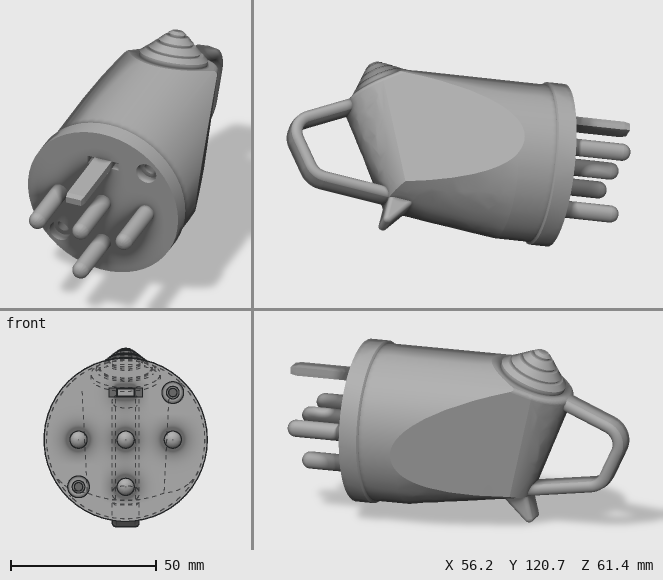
import cadquery as cq
import math


COVER_RADIUS = 28.08
COVER_DEPTH = 6.9
COVER_CHAMFER_RADIAL = 0.9
COVER_CHAMFER_DEPTH = 0.6

GRID = 16.2
PIN_RADIUS = 2.96
PIN_LENGTH = 22.1
PIN_TIP_FILLET = 2.9
BLADE_WIDTH = 6.4
BLADE_THICKNESS = 3.0
BLADE_LENGTH = 25.6
BLADE_TIP_LENGTH = 2.2
BLADE_TIP_SETBACK = 0.4
SLOT_WIDTH = 11.5
SLOT_DEPTH = 3.6
SCREW_HEAD_RADIUS = 3.7
SCREW_HEAD_DEPTH = 3.6
SCREW_SHANK_RADIUS = 2.2
SCREW_PILOT_RADIUS = 1.5
SCREW_PILOT_DEPTH = 9.7
PIN_PLACES = [(-GRID, 0), (0, 0), (GRID, 0), (0, -GRID)]
SCREW_PLACES = [(GRID, GRID), (-GRID, -GRID)]

BODY_RADIUS = 27.2
BODY_REACH = 84.5
GLAND_START_Y = 46.7
GLAND_ANGLE = 22.9
UNDERSIDE_START_Y = 18.7
UNDERSIDE_SLOPE = 0.152
UNDERSIDE_SPREAD = 0.07
UNDERSIDE_OVERSIZE = 0.04
SIDE_OFFSET = 33.0
SIDE_TAPER = 0.309
SIDE_LEAN = 0.121
REAR_CORNER_TOP_Y = 65.5
REAR_CORNER_LEAN = 0.229
REAR_MIDDLE_TOP_Y = 75.3
REAR_MIDDLE_LEAN = 0.41
GLAND_EDGE_FILLET = 1.5
NOSE_BOTTOM_Z = -29.0

LOOP_WIDTH = 9.3
LOOP_THICKNESS = 4.6
LOOP_SIDE_BULGE = 1.2
LOOP_CROWN = 0.4
LOOP_BEND_RADIUS = 6.5
LOOP_REAR_Y = 90.0
LOOP_REAR_Z = -6.6
LOOP_REAR_LEAN = 0.46
LOOP_TOP_END_Y = 67.6
LOOP_BOTTOM_END_Y = 55.6
HOOK_POINTS = [(59.8, -18.7), (62.5, -30.0), (59.9, -30.0), (52.3, -22.5), (52.3, -18.7)]
HOOK_TIP_FILLET = 1.2
HOOK_REAR_FILLET = 1.5

BOOT_CENTRE_Y = 60.9
BOOT_FOOT_RADIUS = 11.9
BOOT_RIBS = [
    (11.9, 10.1, 1.5, 3.0),
    (9.24, 7.07, 3.7, 5.8),
    (6.2, 4.1, 6.6, 8.6),
    (3.1, 1.9, 9.4, 10.3),
]
BOOT_GROOVE_INSET = 0.4


def gland_z(y):
    """Height of the sloping gland face at y."""
    return BODY_RADIUS - math.tan(math.radians(GLAND_ANGLE)) * (y - GLAND_START_Y)


def underside_z(y):
    """Height of the lowest line of the rising underside at y."""
    return -BODY_RADIUS + UNDERSIDE_SLOPE * (y - UNDERSIDE_START_Y)


def side_x(y, z):
    """Half width between the two flat sides."""
    return SIDE_OFFSET - SIDE_TAPER * y + SIDE_LEAN * z


def cylinder(x, z, radius, start, length):
    """Cylinder along +Y from y = start."""
    return cq.Workplane(cq.Solid.makeCylinder(radius, length, cq.Vector(x, start, z), cq.Vector(0, 1, 0)))


def nose_section(height_at, corner_y, middle_y):
    """Closed outline in a sloping plane: front edge, two flat sides and a bowed rear."""
    front_z = height_at(0)
    corner_z = height_at(corner_y)
    front_x = side_x(0, front_z)
    corner_x = side_x(corner_y, corner_z)
    front_left = cq.Vector(-front_x, 0, front_z)
    front_right = cq.Vector(front_x, 0, front_z)
    rear_left = cq.Vector(-corner_x, corner_y, corner_z)
    rear_right = cq.Vector(corner_x, corner_y, corner_z)
    rear_middle = cq.Vector(0, middle_y, height_at(middle_y))
    return cq.Wire.assembleEdges([
        cq.Edge.makeLine(front_left, front_right),
        cq.Edge.makeLine(front_right, rear_right),
        cq.Edge.makeThreePointArc(rear_right, rear_middle, rear_left),
        cq.Edge.makeLine(rear_left, front_left),
    ])


def nose_wedge():
    """Wedge bounded by the gland face, the flat sides and the rear."""
    corner_drop = gland_z(REAR_CORNER_TOP_Y) - NOSE_BOTTOM_Z
    middle_drop = gland_z(REAR_MIDDLE_TOP_Y) - NOSE_BOTTOM_Z
    top = nose_section(gland_z, REAR_CORNER_TOP_Y, REAR_MIDDLE_TOP_Y)
    bottom = nose_section(
        lambda y: NOSE_BOTTOM_Z,
        REAR_CORNER_TOP_Y - REAR_CORNER_LEAN * corner_drop,
        REAR_MIDDLE_TOP_Y - REAR_MIDDLE_LEAN * middle_drop,
    )
    wedge = cq.Workplane(cq.Solid.makeLoft([top, bottom], True))
    return wedge.faces(">Z").edges("not <Y").fillet(GLAND_EDGE_FILLET)


def underside_cone():
    """Oblique cone whose lowest line is the rising underside.

    It starts slightly larger than the body, so that it leaves the body cylinder along one clean edge.
    """
    end_radius = BODY_RADIUS + UNDERSIDE_SPREAD * (BODY_REACH - UNDERSIDE_START_Y)
    end_z = underside_z(BODY_REACH) + end_radius
    forward = cq.Vector(0, 1, 0)
    start = cq.Wire.makeCircle(BODY_RADIUS + UNDERSIDE_OVERSIZE, cq.Vector(0, UNDERSIDE_START_Y, 0), forward)
    end = cq.Wire.makeCircle(end_radius, cq.Vector(0, BODY_REACH, end_z), forward)
    return cq.Workplane(cq.Solid.makeLoft([start, end], True))


def upper_limb_z(y):
    """Centre height of the loop's upper limb, which runs flush under the gland face plane."""
    return gland_z(y) - LOOP_THICKNESS / 2 / math.cos(math.radians(GLAND_ANGLE))


def lower_limb_z(y):
    """Centre height of the loop's lower limb, which runs flush along the underside."""
    return underside_z(y) + LOOP_THICKNESS / 2 * math.hypot(1, UNDERSIDE_SLOPE)


def round_corner(before, corner, after):
    """Start, middle and end of the arc that rounds a corner of the loop's centre line."""
    to_before = (before - corner).normalized()
    to_after = (after - corner).normalized()
    half_angle = to_before.getAngle(to_after) / 2
    reach = LOOP_BEND_RADIUS / math.tan(half_angle)
    middle_gap = LOOP_BEND_RADIUS / math.sin(half_angle) - LOOP_BEND_RADIUS
    middle = corner + (to_before + to_after).normalized() * middle_gap
    return corner + to_before * reach, middle, corner + to_after * reach


def carrying_loop():
    """Open loop of oval bar whose two ends are buried in the housing."""
    gland_slope = math.tan(math.radians(GLAND_ANGLE))
    rear_y_at_zero = LOOP_REAR_Y - LOOP_REAR_LEAN * LOOP_REAR_Z
    top_y = (rear_y_at_zero + LOOP_REAR_LEAN * upper_limb_z(0)) / (1 + LOOP_REAR_LEAN * gland_slope)
    bottom_y = (rear_y_at_zero + LOOP_REAR_LEAN * lower_limb_z(0)) / (1 - LOOP_REAR_LEAN * UNDERSIDE_SLOPE)
    start = cq.Vector(0, LOOP_TOP_END_Y, upper_limb_z(LOOP_TOP_END_Y))
    top_corner = cq.Vector(0, top_y, upper_limb_z(top_y))
    bottom_corner = cq.Vector(0, bottom_y, lower_limb_z(bottom_y))
    end = cq.Vector(0, LOOP_BOTTOM_END_Y, lower_limb_z(LOOP_BOTTOM_END_Y))
    top_bend = round_corner(start, top_corner, bottom_corner)
    bottom_bend = round_corner(top_corner, bottom_corner, end)
    centre_line = cq.Wire.assembleEdges([
        cq.Edge.makeLine(start, top_bend[0]),
        cq.Edge.makeThreePointArc(*top_bend),
        cq.Edge.makeLine(top_bend[2], bottom_bend[0]),
        cq.Edge.makeThreePointArc(*bottom_bend),
        cq.Edge.makeLine(bottom_bend[2], end),
    ])
    section = cq.Workplane(cq.Plane(start, xDir=(1, 0, 0), normal=top_corner - start))
    half_width = LOOP_WIDTH / 2
    half_thickness = LOOP_THICKNESS / 2
    crown_x = half_width - LOOP_SIDE_BULGE
    crown_y = half_thickness - LOOP_CROWN
    oval = (
        section.moveTo(-crown_x, crown_y)
        .threePointArc((0, half_thickness), (crown_x, crown_y))
        .threePointArc((half_width, 0), (crown_x, -crown_y))
        .threePointArc((0, -half_thickness), (-crown_x, -crown_y))
        .threePointArc((-half_width, 0), (-crown_x, crown_y))
        .close()
    )
    return oval.sweep(cq.Workplane(centre_line))


def finger_hook():
    """Wedge-shaped hook under the rear of the housing, rounded at its tip and along its rear face."""
    hook = cq.Workplane("YZ").polyline(HOOK_POINTS).close().extrude(LOOP_WIDTH / 2, both=True)
    hook = hook.edges("|X and <Z").fillet(HOOK_TIP_FILLET)
    return hook.faces(">Y").edges("not |X").fillet(HOOK_REAR_FILLET)


def make_housing():
    """Housing with its carrying loop, finger hook and screw pilot holes."""
    front = cylinder(0, 0, BODY_RADIUS, COVER_DEPTH, UNDERSIDE_START_Y - COVER_DEPTH)
    rear = cylinder(0, 0, BODY_RADIUS, UNDERSIDE_START_Y, BODY_REACH - UNDERSIDE_START_Y)
    shell = front.union(rear.intersect(underside_cone())).intersect(nose_wedge())
    shell = shell.union(carrying_loop()).union(finger_hook())
    for x, z in SCREW_PLACES:
        shell = shell.cut(cylinder(x, z, SCREW_PILOT_RADIUS, COVER_DEPTH, SCREW_PILOT_DEPTH))
    return shell


def make_cover():
    """Round plate with a bevelled rear edge, the blade slot and two counterbored screw holes."""
    bevel_y = COVER_DEPTH - COVER_CHAMFER_DEPTH
    profile = [
        (0, 0),
        (COVER_RADIUS, 0),
        (COVER_RADIUS, bevel_y),
        (COVER_RADIUS - COVER_CHAMFER_RADIAL, COVER_DEPTH),
        (0, COVER_DEPTH),
    ]
    cover = cq.Workplane("XY").polyline(profile).close().revolve(360, (0, 0), (0, 1))
    slot = cq.Workplane("XY").box(SLOT_WIDTH, SLOT_DEPTH, BLADE_THICKNESS)
    cover = cover.cut(slot.translate((0, SLOT_DEPTH / 2, GRID)))
    for x, z in SCREW_PLACES:
        cover = cover.cut(cylinder(x, z, SCREW_HEAD_RADIUS, 0, SCREW_HEAD_DEPTH))
        cover = cover.cut(cylinder(x, z, SCREW_SHANK_RADIUS, 0, COVER_DEPTH))
    return cover


def make_pin(x, z):
    """Round pin with a rounded tip, standing on the cover face."""
    pin = cylinder(x, z, PIN_RADIUS, -PIN_LENGTH, PIN_LENGTH)
    return pin.faces("<Y").edges().fillet(PIN_TIP_FILLET)


def make_blade():
    """Flat blade that stands on the slot floor, bevelled on all four sides of its tip."""
    root = cq.Workplane("XZ", origin=(0, SLOT_DEPTH, GRID)).rect(BLADE_WIDTH, BLADE_THICKNESS)
    shank_length = SLOT_DEPTH + BLADE_LENGTH - BLADE_TIP_LENGTH
    blade = root.extrude(shank_length)
    tip = (
        blade.faces("<Y").workplane().rect(BLADE_WIDTH, BLADE_THICKNESS)
        .workplane(offset=BLADE_TIP_LENGTH)
        .rect(BLADE_WIDTH - 2 * BLADE_TIP_SETBACK, BLADE_THICKNESS - 2 * BLADE_TIP_SETBACK)
        .loft(ruled=True, combine=False)
    )
    return blade.union(tip)


def make_boot():
    """Stepped cone standing square on the gland face."""
    outline = [(0, 0), (BOOT_FOOT_RADIUS, 0)]
    for bottom_radius, top_radius, bottom_height, top_height in BOOT_RIBS:
        groove_radius = bottom_radius - BOOT_GROOVE_INSET
        if outline[-1][1] > 0:
            outline.append((groove_radius, outline[-1][1]))
            outline.append((groove_radius, bottom_height))
        outline.append((bottom_radius, bottom_height))
        outline.append((top_radius, top_height))
    outline.append((0, outline[-1][1]))
    boot = cq.Workplane("XZ").polyline(outline).close().revolve(360, (0, 0), (0, 1))
    boot = boot.rotate((0, 0, 0), (1, 0, 0), -GLAND_ANGLE)
    return boot.translate((0, BOOT_CENTRE_Y, gland_z(BOOT_CENTRE_Y)))


housing = make_housing()
cover = make_cover()
pins = [make_pin(x, z) for x, z in PIN_PLACES]
blade = make_blade()
boot = make_boot()

result = cq.Compound.makeCompound(
    [housing.val(), cover.val(), *[pin.val() for pin in pins], blade.val(), boot.val()]
)